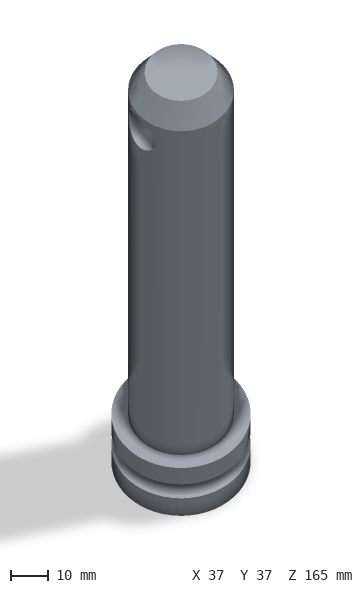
import cadquery as cq

total_length = 165.0
head_diameter = 37.0
shank_diameter = 28.0

lower_flange_height = 7.5
groove_width = 6.0
upper_flange_height = 7.0

tip_diameter = 19.3
tip_height = 7.5

cross_hole_diameter = 12.0
cross_hole_height = 150.2

head_radius = head_diameter / 2
shank_radius = shank_diameter / 2
groove_radius = groove_width / 2
groove_middle = lower_flange_height + groove_radius
groove_top = lower_flange_height + groove_width
head_height = groove_top + upper_flange_height


def turned_pin():
    """Revolve the half profile (radius, height) about Z."""
    profile = (
        cq.Workplane("XZ")
        .lineTo(head_radius, 0)
        .lineTo(head_radius, lower_flange_height)
        .threePointArc((head_radius - groove_radius, groove_middle), (head_radius, groove_top))
        .lineTo(head_radius, head_height)
        .lineTo(shank_radius, head_height)
        .lineTo(shank_radius, total_length - tip_height)
        .lineTo(tip_diameter / 2, total_length)
        .lineTo(0, total_length)
        .close()
    )
    return profile.revolve(360, (0, 0, 0), (0, 1, 0))


def cross_hole():
    """Cylinder along Y that crosses the whole shank."""
    return (
        cq.Workplane("XZ")
        .center(0, cross_hole_height)
        .circle(cross_hole_diameter / 2)
        .extrude(shank_diameter, both=True)
    )


result = turned_pin().cut(cross_hole())